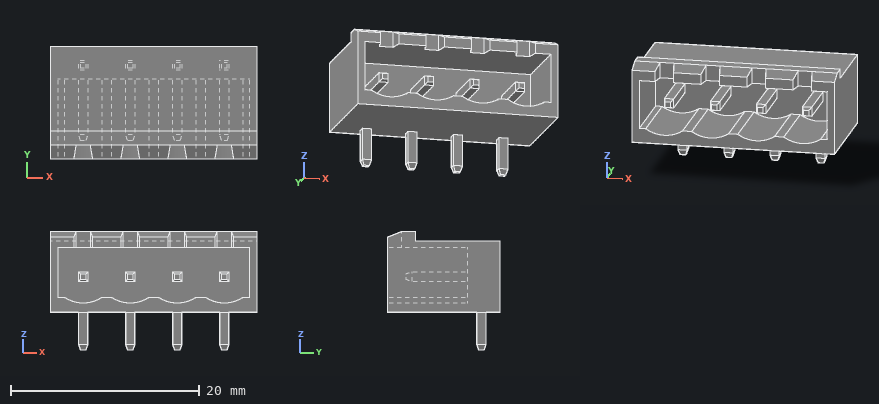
import cadquery as cq

pin_count = 4
pitch = 5.0
pin_width = 1.0
pin_tip_width = 0.6
pin_taper = 0.6

end_margin = 3.5
housing_length = (pin_count - 1) * pitch + 2 * end_margin
housing_depth = 12.0
housing_height = 7.6

lip_height = 1.0
lip_depth = 3.0
lip_slope_depth = 1.5
lip_slope_drop = 0.6
lip_top = housing_height + lip_height

end_wall = 0.8
floor_z = 1.6
ceiling_z = 6.9
cavity_depth = 8.5
scallop_width = 4.0
scallop_depth = 0.6

notch_depth = lip_slope_depth
notch_front_width = 2.0
notch_back_width = 1.5

leg_y = 10.0
leg_length = 4.0
contact_z = 3.8
contact_tip_y = 2.0

pin_positions = [end_margin + i * pitch for i in range(pin_count)]


def make_housing():
    """Plain block with the raised lip, extruded along the pin row."""
    profile = (
        cq.Workplane("YZ")
        .moveTo(0, 0)
        .lineTo(housing_depth, 0)
        .lineTo(housing_depth, housing_height)
        .lineTo(lip_depth, housing_height)
        .lineTo(lip_depth, lip_top)
        .lineTo(lip_slope_depth, lip_top)
        .lineTo(0, lip_top - lip_slope_drop)
        .close()
    )
    return profile.extrude(housing_length)


def make_cavity():
    """Socket volume whose floor dips in a shallow arc under each pin."""
    outline = cq.Workplane("XZ").moveTo(end_wall, ceiling_z).lineTo(end_wall, floor_z)
    for x in pin_positions:
        outline = outline.lineTo(x - scallop_width / 2, floor_z).threePointArc(
            (x, floor_z - scallop_depth), (x + scallop_width / 2, floor_z)
        )
    outline = (
        outline.lineTo(housing_length - end_wall, floor_z)
        .lineTo(housing_length - end_wall, ceiling_z)
        .close()
    )
    return outline.extrude(-cavity_depth)


def make_notch(x):
    """Notch through the lip into the cavity, wider at the open face."""
    return (
        cq.Workplane("XY", origin=(x, 0, ceiling_z))
        .moveTo(-notch_front_width / 2, 0)
        .lineTo(notch_front_width / 2, 0)
        .lineTo(notch_back_width / 2, notch_depth)
        .lineTo(-notch_back_width / 2, notch_depth)
        .close()
        .extrude(lip_top - ceiling_z)
    )


def make_bar(start, direction, length):
    """Square bar with a tapered tip, running from start along direction."""
    plane = cq.Plane(origin=start, xDir=(1, 0, 0), normal=direction)
    shank_length = length - pin_taper
    shank = cq.Workplane(plane).rect(pin_width, pin_width).extrude(shank_length)
    tip = (
        cq.Workplane(plane)
        .workplane(offset=shank_length)
        .rect(pin_width, pin_width)
        .workplane(offset=pin_taper)
        .rect(pin_tip_width, pin_tip_width)
        .loft(ruled=True)
    )
    return shank.union(tip)


def make_pin(x):
    """Right-angle pin: both bars start inside the housing and meet at a square corner."""
    half_width = pin_width / 2
    leg_top = contact_z + half_width
    contact_back = leg_y + half_width
    leg = make_bar((x, leg_y, leg_top), (0, 0, -1), leg_top + leg_length)
    contact = make_bar((x, contact_back, contact_z), (0, -1, 0), contact_back - contact_tip_y)
    return leg.union(contact)


result = make_housing().cut(make_cavity())
for pin_x in pin_positions:
    result = result.cut(make_notch(pin_x)).union(make_pin(pin_x))